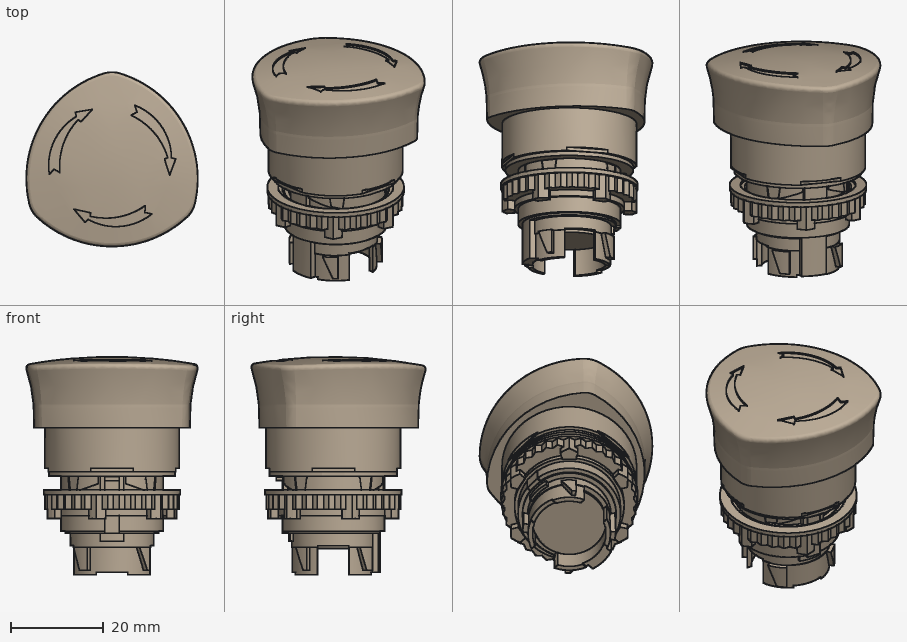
import cadquery as cq
import math

SKIRT_LUG_BOTTOM = 0.95
SKIRT_TOP = 5.94
ACTUATOR_TOP = 9.42
FLANGE_BOTTOM = 8.95
HUB_BOTTOM = 12.75
NUT_LUG_BOTTOM = 12.07
KNURL_BOTTOM = 14.1
KNURL_TOP = 17.28
NUT_TOP = 18.27
GASKET_BOTTOM = 21.23
COLLAR_BOTTOM = 22.15
CAP_BOTTOM = 31.6
CAP_BAND_BOTTOM = 35.97
CAP_BAND_TOP = 36.6
CAP_TOP = 46.95

NECK_RADIUS = 11.04
COLLAR_RADIUS = 14.5
FLANGE_RADIUS = 10.1

QUARTER_TURNS = (0, 90, 180, 270)


def cylinder(radius, bottom, top):
    return cq.Workplane("XY").workplane(offset=bottom).circle(radius).extrude(top - bottom)


def box(x_range, y_range, z_range):
    """Axis-aligned block given by its limits along X, Y and Z."""
    sizes = [high - low for low, high in (x_range, y_range, z_range)]
    corner = (x_range[0], y_range[0], z_range[0])
    return cq.Workplane("XY").box(*sizes, centered=False).translate(corner)


def turned(shape, angle):
    return shape.rotate((0, 0, 0), (0, 0, 1), angle)


def polar(radius, angle):
    return (radius * math.cos(math.radians(angle)), radius * math.sin(math.radians(angle)))


CAP_SIDE_RADIUS = 24.1
CAP_SIDE_OFFSET = 6.5
CAP_CORNER_RADIUS = 5.65
CAP_CORNER_ANGLES = (90, 210, 330)
CAP_BOTTOM_INSET = 1.66
CAP_BAND_INSET = 1.55
CAP_FLARE_INSET = 0.9
CAP_FLARE_MIDDLE = 41.0
CAP_RIM_OUTSET = 1.02
CAP_RIM_FILLET = 0.9
DOME_RADIUS = 101.0
ARROW_DEPTH = 0.3


def cap_outline(height, inset):
    """Rounded triangle: three side arcs joined by tangent corner arcs."""
    side_radius = CAP_SIDE_RADIUS - inset
    corner_radius = CAP_CORNER_RADIUS - inset
    reach = CAP_SIDE_RADIUS - CAP_CORNER_RADIUS
    half_offset = CAP_SIDE_OFFSET / 2
    corner_offset = math.sqrt(reach ** 2 - 3 * half_offset ** 2) - half_offset
    half_turn = math.degrees(math.asin(CAP_SIDE_OFFSET * math.sin(math.radians(120)) / reach))

    def corner_point(direction, turn):
        centre = polar(corner_offset, direction)
        rim = polar(corner_radius, direction + turn)
        return (centre[0] + rim[0], centre[1] + rim[1])

    start = corner_point(CAP_CORNER_ANGLES[0], -half_turn)
    outline = cq.Workplane("XY").workplane(offset=height).moveTo(*start)
    for direction in CAP_CORNER_ANGLES:
        outline = outline.threePointArc(corner_point(direction, 0), corner_point(direction, half_turn))
        side_middle = polar(side_radius - CAP_SIDE_OFFSET, direction + 60)
        outline = outline.threePointArc(side_middle, corner_point(direction + 120, -half_turn))
    return outline.close()


def cap_section(*levels, ruled=False):
    wires = [cap_outline(height, inset).wires().val() for height, inset in levels]
    return cq.Workplane(cq.Solid.makeLoft(wires, ruled))


def dome(top):
    """Large ball laid on its side, which keeps its seam away from the crown."""
    return cq.Workplane("XZ").sphere(DOME_RADIUS).translate((0, 0, top - DOME_RADIUS))


def arrow_prism():
    """Curved arrow running clockwise, narrowing from a notched tail to its head."""
    return (
        cq.Workplane("XY").workplane(offset=CAP_BAND_TOP)
        .moveTo(4.9, 12.75)
        .threePointArc((10.45, 8.5), (12.8, 1.45))
        .lineTo(13.7, 1.2)
        .lineTo(12.4, -2.3)
        .lineTo(11.3, 1.2)
        .lineTo(12.0, 1.5)
        .threePointArc((9.8, 5.95), (4.1, 10.6))
        .lineTo(5.4, 11.3)
        .close()
        .extrude(CAP_TOP - CAP_BAND_TOP)
    )


def make_cap():
    skirt = cap_section((CAP_BOTTOM, CAP_BOTTOM_INSET), (CAP_BAND_BOTTOM, CAP_BAND_INSET), ruled=True)
    band = cap_section((CAP_BAND_BOTTOM, CAP_BAND_INSET), (CAP_BAND_TOP, CAP_BAND_INSET), ruled=True)
    flare = cap_section(
        (CAP_BAND_TOP, CAP_BAND_INSET),
        (CAP_FLARE_MIDDLE, CAP_FLARE_INSET),
        (CAP_TOP, -CAP_RIM_OUTSET),
    )
    head = flare.intersect(dome(CAP_TOP))
    head = head.faces(">Z").edges().fillet(CAP_RIM_FILLET)
    arrow = arrow_prism().cut(dome(CAP_TOP - ARROW_DEPTH))
    for angle in (0, 120, 240):
        head = head.cut(turned(arrow, angle))
    return skirt.union(band).union(head)


COLLAR_FLAT_HALF_WIDTH = 4.58
COLLAR_FLAT_TOP = 22.9
BLOCK_HALF_WIDTH = 2.53
WINDOW_HALF_WIDTH = 3.0
WINDOW_SHOULDER = 19.6
WINDOW_SLOPE = 0.36
RECESS_FOOT = 17.3
FACET_ANGLES = (40, 140, 220, 320)
FACET_DISTANCE = 10.65
FACET_TOP_HALF_WIDTH = 1.73
FACET_BOTTOM_HALF_WIDTH = 1.15
KEY_WIDTH = (-1.57, 1.57)
KEY_FACE = NECK_RADIUS
KEY_TAB_FACE = 12.3
KEY_TAB_BOTTOM = 20.25
KEY_TAB_TOP = 21.1


def neck_recess():
    """Front recess of the neck, stepping in to the flange radius on both sides of a block."""
    foot_half_width = WINDOW_HALF_WIDTH + (WINDOW_SHOULDER - RECESS_FOOT) / WINDOW_SLOPE
    opening = (
        cq.Workplane("XZ")
        .polyline([
            (-foot_half_width, RECESS_FOOT),
            (foot_half_width, RECESS_FOOT),
            (WINDOW_HALF_WIDTH, WINDOW_SHOULDER),
            (WINDOW_HALF_WIDTH, GASKET_BOTTOM),
            (-WINDOW_HALF_WIDTH, GASKET_BOTTOM),
            (-WINDOW_HALF_WIDTH, WINDOW_SHOULDER),
        ])
        .close()
        .extrude(COLLAR_RADIUS)
    )
    block = box(
        (-BLOCK_HALF_WIDTH, BLOCK_HALF_WIDTH), (-COLLAR_RADIUS, 0), (RECESS_FOOT, GASKET_BOTTOM))
    return opening.cut(cylinder(FLANGE_RADIUS, RECESS_FOOT, GASKET_BOTTOM)).cut(block)


def neck_facet():
    """Flat, downward-narrowing facet cut into the neck on the +X side."""
    return (
        cq.Workplane("YZ").workplane(offset=FACET_DISTANCE)
        .polyline([
            (-FACET_BOTTOM_HALF_WIDTH, RECESS_FOOT),
            (FACET_BOTTOM_HALF_WIDTH, RECESS_FOOT),
            (FACET_TOP_HALF_WIDTH, GASKET_BOTTOM),
            (-FACET_TOP_HALF_WIDTH, GASKET_BOTTOM),
        ])
        .close()
        .extrude(NECK_RADIUS - FACET_DISTANCE)
    )


def key_bar():
    """Upright flat-faced key on the front of the neck; the nut has a keyway for it."""
    return box(KEY_WIDTH, (-KEY_FACE, -FLANGE_RADIUS), (FLANGE_BOTTOM, KEY_TAB_TOP))


def make_housing():
    body = cylinder(COLLAR_RADIUS, COLLAR_BOTTOM, CAP_BOTTOM)
    flat_distance = math.sqrt(COLLAR_RADIUS ** 2 - COLLAR_FLAT_HALF_WIDTH ** 2)
    flat = box(
        (flat_distance, COLLAR_RADIUS),
        (-COLLAR_RADIUS, COLLAR_RADIUS),
        (COLLAR_BOTTOM, COLLAR_FLAT_TOP),
    )
    for angle in QUARTER_TURNS:
        body = body.cut(turned(flat, angle))

    neck = cylinder(NECK_RADIUS, ACTUATOR_TOP, COLLAR_BOTTOM)
    for angle in (0, 180):
        neck = neck.cut(turned(neck_recess(), angle))
    for angle in FACET_ANGLES:
        neck = neck.cut(turned(neck_facet(), angle))

    tab = box(KEY_WIDTH, (-KEY_TAB_FACE, -FLANGE_RADIUS), (KEY_TAB_BOTTOM, KEY_TAB_TOP))
    return body.union(neck).union(key_bar()).union(tab)


GASKET_RADIUS = 13.78
GASKET_FLAT_DISTANCE = 13.57


def make_gasket():
    height_range = (GASKET_BOTTOM, COLLAR_BOTTOM)
    between_flats = box(
        (-GASKET_FLAT_DISTANCE, GASKET_FLAT_DISTANCE), (-GASKET_RADIUS, GASKET_RADIUS), height_range)
    ring = cylinder(GASKET_RADIUS, *height_range).intersect(between_flats)
    return ring.cut(cylinder(NECK_RADIUS, *height_range))


NUT_FLANGE_RADIUS = 14.74
NUT_SEAT = 17.8
NUT_COUNTERBORE_RADIUS = 12.4
NUT_CLEARANCE_RADIUS = 11.5
NUT_HUB_RADIUS = 11.8
TOOTH_COUNT = 36
TOOTH_TIP_RADIUS = 14.5
TOOTH_VALLEY_RADIUS = 13.9
TOOTH_PHASE = 16.3
NUT_LUG_COUNT = 6
NUT_LUG_INNER_HALF_WIDTH = 1.5
NUT_LUG_SHOULDER_RADIUS = 13.35
NUT_LUG_SHOULDER_HALF_WIDTH = 1.9


def knurled_ring():
    pitch = 360 / TOOTH_COUNT
    points = []
    for tooth in range(TOOTH_COUNT):
        tip_angle = TOOTH_PHASE + tooth * pitch
        points.append(polar(TOOTH_TIP_RADIUS, tip_angle))
        points.append(polar(TOOTH_VALLEY_RADIUS, tip_angle + pitch / 2))
    return (
        cq.Workplane("XY").workplane(offset=KNURL_BOTTOM)
        .polyline(points).close()
        .extrude(KNURL_TOP - KNURL_BOTTOM)
    )


def nut_lug():
    """Lug on the +X side that carries one knurl tooth below the ring."""
    half_pitch = 180 / TOOTH_COUNT
    return (
        cq.Workplane("XY").workplane(offset=NUT_LUG_BOTTOM)
        .polyline([
            (NUT_HUB_RADIUS, -NUT_LUG_INNER_HALF_WIDTH),
            (NUT_LUG_SHOULDER_RADIUS, -NUT_LUG_SHOULDER_HALF_WIDTH),
            polar(TOOTH_VALLEY_RADIUS, -half_pitch),
            (TOOTH_TIP_RADIUS, 0),
            polar(TOOTH_VALLEY_RADIUS, half_pitch),
            (NUT_LUG_SHOULDER_RADIUS, NUT_LUG_SHOULDER_HALF_WIDTH),
            (NUT_HUB_RADIUS, NUT_LUG_INNER_HALF_WIDTH),
        ])
        .close()
        .extrude(KNURL_BOTTOM - NUT_LUG_BOTTOM)
    )


def make_nut():
    nut = cylinder(NUT_FLANGE_RADIUS, KNURL_TOP, NUT_TOP)
    nut = nut.union(knurled_ring())
    nut = nut.union(cylinder(NUT_HUB_RADIUS, HUB_BOTTOM, KNURL_BOTTOM))
    for index in range(NUT_LUG_COUNT):
        nut = nut.union(turned(nut_lug(), TOOTH_PHASE + index * 360 / NUT_LUG_COUNT))
    nut = nut.cut(cylinder(NECK_RADIUS, NUT_LUG_BOTTOM, NUT_TOP))
    nut = nut.cut(key_bar())
    nut = nut.cut(cylinder(NUT_CLEARANCE_RADIUS, KNURL_BOTTOM, NUT_TOP))
    return nut.cut(cylinder(NUT_COUNTERBORE_RADIUS, NUT_SEAT, NUT_TOP))


BARREL_RADIUS = 9.0
SKIRT_RADIUS = 8.88
SKIRT_BORE_RADIUS = 7.9
SKIRT_INSIDE = (SKIRT_RADIUS + SKIRT_BORE_RADIUS) / 2
SKIRT_BORE_TOP = 5.65
SLOT_HALF_WIDTH = 3.38
SIDE_SLOT_TOP = 6.3
FRONT_NOTCH_TOP = 0.5
STOP_RADIUS = 9.63
STOP_BOTTOM = 7.25
LEG_HALF_WIDTH = 2.85
LEG_BOTTOM = 0.5
SKIRT_LUG_RADIUS = 10.0
SKIRT_LUG_ANGLES = (
    (35, 46, 58),
    (122, 135, 141.5),
    (214, 225.5, 238),
    (306.2, 319.6, 325),
)


def pad(radius, half_width, bottom, top):
    """Curved pad on the -Y side, reaching from inside the skirt wall out to the radius."""
    width = box((-half_width, half_width), (-radius, -SKIRT_INSIDE), (bottom, top))
    return cylinder(radius, bottom, top).intersect(width)


def skirt_lug(slope_top, slope_bottom, upright):
    """Ring segment on the skirt, its lower part narrowed by the sloped side."""
    reach = 2 * SKIRT_LUG_RADIUS

    def wedge_wire(height, start):
        return (
            cq.Workplane("XY").workplane(offset=height)
            .polyline([(0, 0), polar(reach, start), polar(reach, upright)])
            .close().wires().val()
        )

    wedge = cq.Workplane(cq.Solid.makeLoft(
        [wedge_wire(SKIRT_LUG_BOTTOM, slope_bottom), wedge_wire(SKIRT_TOP, slope_top)], True))
    ring = cylinder(SKIRT_LUG_RADIUS, SKIRT_LUG_BOTTOM, SKIRT_TOP)
    ring = ring.cut(cylinder(SKIRT_INSIDE, SKIRT_LUG_BOTTOM, SKIRT_TOP))
    return ring.intersect(wedge)


def make_actuator():
    actuator = cylinder(FLANGE_RADIUS, FLANGE_BOTTOM, ACTUATOR_TOP)
    actuator = actuator.union(cylinder(BARREL_RADIUS, SKIRT_TOP, FLANGE_BOTTOM))
    skirt = cylinder(SKIRT_RADIUS, 0, SKIRT_TOP)
    actuator = actuator.union(skirt.cut(cylinder(SKIRT_BORE_RADIUS, 0, SKIRT_BORE_TOP)))

    slot = (-SLOT_HALF_WIDTH, SLOT_HALF_WIDTH)
    across = (-FLANGE_RADIUS, FLANGE_RADIUS)
    side_slot = box(across, slot, (0, SIDE_SLOT_TOP)).cut(cylinder(SKIRT_BORE_RADIUS, 0, SIDE_SLOT_TOP))
    actuator = actuator.cut(side_slot)
    actuator = actuator.cut(box(slot, across, (0, FRONT_NOTCH_TOP)))

    for angles in SKIRT_LUG_ANGLES:
        actuator = actuator.union(skirt_lug(*angles))
    actuator = actuator.union(pad(STOP_RADIUS, BLOCK_HALF_WIDTH, STOP_BOTTOM, FLANGE_BOTTOM))
    leg = pad(FLANGE_RADIUS, LEG_HALF_WIDTH, LEG_BOTTOM, FLANGE_BOTTOM)
    return actuator.union(turned(leg, 180))


cap = make_cap()
housing = make_housing()
gasket = make_gasket()
nut = make_nut()
actuator = make_actuator()

result = cq.Compound.makeCompound([
    cap.val(),
    housing.val(),
    gasket.val(),
    nut.val(),
    actuator.val(),
])